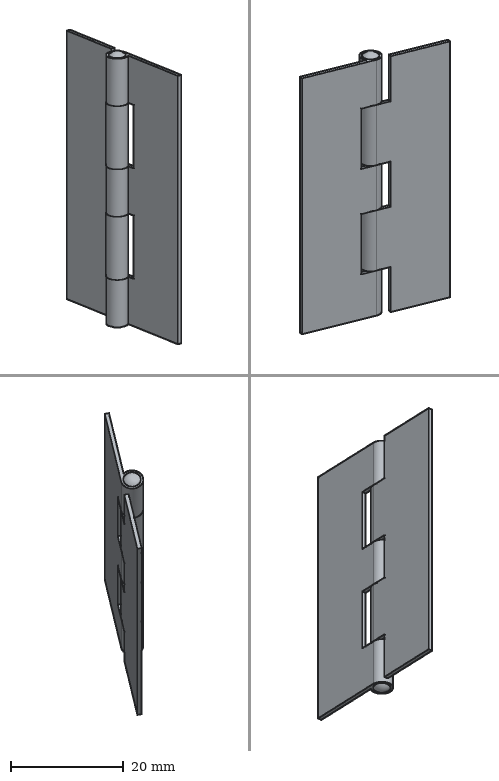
import cadquery as cq

overall_height = 52.5
overall_width = 30.0
dome_height = 0.75
barrel_diameter = 4.0
pin_diameter = 3.1
leaf_thickness = 0.8
long_knuckle = 12.0
leaf_edge_offset = 3.0

leaf_height = overall_height - 2 * dome_height
half_height = leaf_height / 2
half_width = overall_width / 2
barrel_radius = barrel_diameter / 2
pin_radius = pin_diameter / 2
short_knuckle = (leaf_height - 2 * long_knuckle) / 3
knuckle_pitch = short_knuckle + long_knuckle
leaf_front = barrel_radius - leaf_thickness

right_knuckle_starts = [-half_height + i * knuckle_pitch for i in range(3)]
left_knuckle_starts = [start + short_knuckle for start in right_knuckle_starts[:2]]


def slab(side, inner_x, outer_x, bottom, height):
    """Piece of leaf sheet on the +X (side = 1) or -X (side = -1) side of the axis."""
    width = outer_x - inner_x
    return (
        cq.Workplane("XY", origin=(side * (inner_x + width / 2), leaf_front, bottom))
        .rect(width, leaf_thickness)
        .extrude(height)
        .translate((0, leaf_thickness / 2, 0))
    )


def knuckle(side, bottom, length):
    """Barrel section with the tab that joins it to its leaf, bored for the pin."""
    barrel = cq.Workplane("XY", origin=(0, 0, bottom)).circle(barrel_radius).extrude(length)
    bore = cq.Workplane("XY", origin=(0, 0, bottom)).circle(pin_radius).extrude(length)
    tab = slab(side, 0, leaf_edge_offset, bottom, length)
    return barrel.union(tab).cut(bore)


def make_leaf(side, knuckle_starts, knuckle_length):
    """Flat leaf with its row of knuckles."""
    leaf = slab(side, leaf_edge_offset, half_width, -half_height, leaf_height)
    for start in knuckle_starts:
        leaf = leaf.union(knuckle(side, start, knuckle_length))
    return leaf


def make_pin():
    """Round pin filling the bore, with a domed end beyond each end of the barrel."""
    dome_radius = (pin_radius**2 + dome_height**2) / (2 * dome_height)
    top = overall_height / 2
    mid_radius = pin_radius / 2
    mid_drop = dome_radius - (dome_radius**2 - mid_radius**2) ** 0.5
    return (
        cq.Workplane("XZ")
        .moveTo(0, -top)
        .threePointArc((mid_radius, -top + mid_drop), (pin_radius, -half_height))
        .lineTo(pin_radius, half_height)
        .threePointArc((mid_radius, top - mid_drop), (0, top))
        .close()
        .revolve(360, (0, 0, 0), (0, 1, 0))
    )


right_leaf = make_leaf(1, right_knuckle_starts, short_knuckle)
left_leaf = make_leaf(-1, left_knuckle_starts, long_knuckle)
pin = make_pin()

result = cq.Compound.makeCompound([right_leaf.solids().val(), left_leaf.solids().val(), pin.val()])